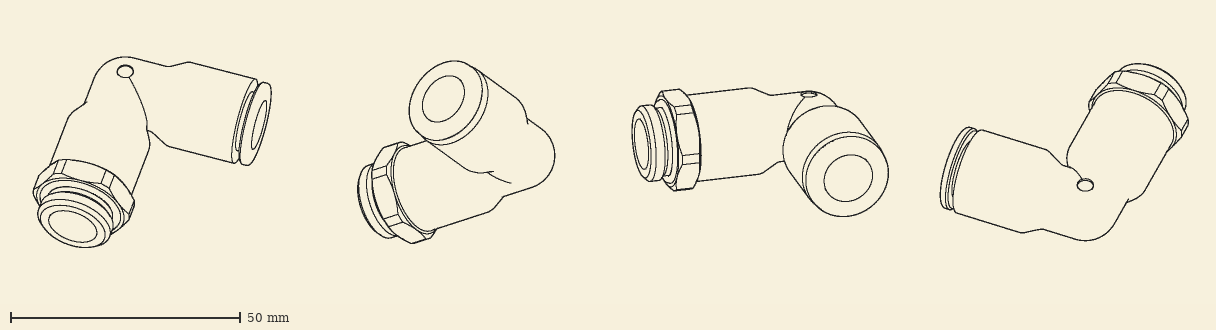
import cadquery as cq
import math


tube_radius = 7.3
body_radius = 9.5
bore_radius = 5.5
taper_start_at = 8.0
taper_end_at = 12.1
taper_blend_radius = 1.43
socket_body_end_at = 27.32
stem_body_end_at = 27.25

badge_radius = 1.75
badge_depth = 0.55

collet_neck_radius = 6.65
collet_radius = 9.25
collet_start_at = 28.75
collet_end_at = 30.6
collet_inner_chamfer = 0.45
collet_outer_fillet = 0.5

hex_sides = 6
hex_across_flats = 20.0
hex_corner_radius = 11.0
hex_start_at = 27.5
hex_end_at = 32.5
hex_chamfer_length = 0.55
collar_radius = 8.25

ring_section_radius = 0.9
ring_centre_radius = 8.3
ring_end_at = 33.35

thread_radius = 8.3
thread_neck_radius = 7.45
thread_end_at = 38.0
thread_chamfer = 0.9
relief_start_at = 34.2


def turned(profile):
    """Solid of revolution about X from (position along X, radius) points."""
    start_at = profile[0][0]
    end_at = profile[-1][0]
    outline = [(start_at, 0), *profile, (end_at, 0)]
    return cq.Workplane("XY").polyline(outline).close().revolve(360, (0, 0, 0), (1, 0, 0))


def cylinder(radius, start_at, end_at):
    """Cylinder about X between two positions."""
    return turned([(start_at, radius), (end_at, radius)])


def onto_stem(solid):
    """Turn a solid built along +X so that it lies along -Y."""
    return solid.rotate((0, 0, 0), (0, 0, 1), -90)


def branch_body(end_at):
    """Tube that widens through a blended taper into the large cylinder."""
    body = turned([
        (0, tube_radius),
        (taper_start_at, tube_radius),
        (taper_end_at, body_radius),
        (end_at, body_radius),
    ])
    taper_edges = body.faces("%CONE").edges("%CIRCLE")
    return taper_edges.fillet(taper_blend_radius)


def collet():
    neck = cylinder(collet_neck_radius, socket_body_end_at, collet_start_at)
    flange = cylinder(collet_radius, collet_start_at, collet_end_at)
    flange = flange.faces("<X").edges().chamfer(collet_inner_chamfer)
    flange = flange.faces(">X").edges().fillet(collet_outer_fillet)
    return neck.union(flange)


def hexagon():
    """Hexagon whose corners are turned down and chamfered at both ends."""
    flat_radius = hex_across_flats / 2
    hex_diameter = hex_across_flats / math.cos(math.pi / hex_sides)
    prism = (
        cq.Workplane("YZ", origin=(hex_start_at, 0, 0))
        .polygon(hex_sides, hex_diameter)
        .extrude(hex_end_at - hex_start_at)
    )
    envelope = turned([
        (hex_start_at, flat_radius),
        (hex_start_at + hex_chamfer_length, hex_corner_radius),
        (hex_end_at - hex_chamfer_length, hex_corner_radius),
        (hex_end_at, flat_radius),
    ])
    return prism.intersect(envelope)


def sealing_ring():
    ring = cq.Solid.makeTorus(
        ring_centre_radius,
        ring_section_radius,
        cq.Vector(ring_end_at - ring_section_radius, 0, 0),
        cq.Vector(1, 0, 0),
    )
    return cq.Workplane(obj=ring)


def threaded_end():
    relief_end_at = relief_start_at + thread_radius - thread_neck_radius
    return turned([
        (hex_end_at, thread_neck_radius),
        (relief_start_at, thread_neck_radius),
        (relief_end_at, thread_radius),
        (thread_end_at - thread_chamfer, thread_radius),
        (thread_end_at, thread_radius - thread_chamfer),
    ])


def badge_recess():
    return (
        cq.Workplane("XY", origin=(0, 0, tube_radius - badge_depth))
        .circle(badge_radius)
        .extrude(tube_radius)
    )


socket = branch_body(socket_body_end_at).union(collet())

stem = (
    branch_body(stem_body_end_at)
    .union(cylinder(collar_radius, stem_body_end_at, hex_start_at))
    .union(hexagon())
    .union(threaded_end())
    .union(sealing_ring())
)

passage = (
    cq.Workplane("XY").sphere(bore_radius)
    .union(cylinder(bore_radius, 0, collet_end_at))
    .union(onto_stem(cylinder(bore_radius, 0, thread_end_at)))
)

result = (
    cq.Workplane("XY").sphere(tube_radius)
    .union(socket)
    .union(onto_stem(stem))
    .cut(passage)
    .cut(badge_recess())
)